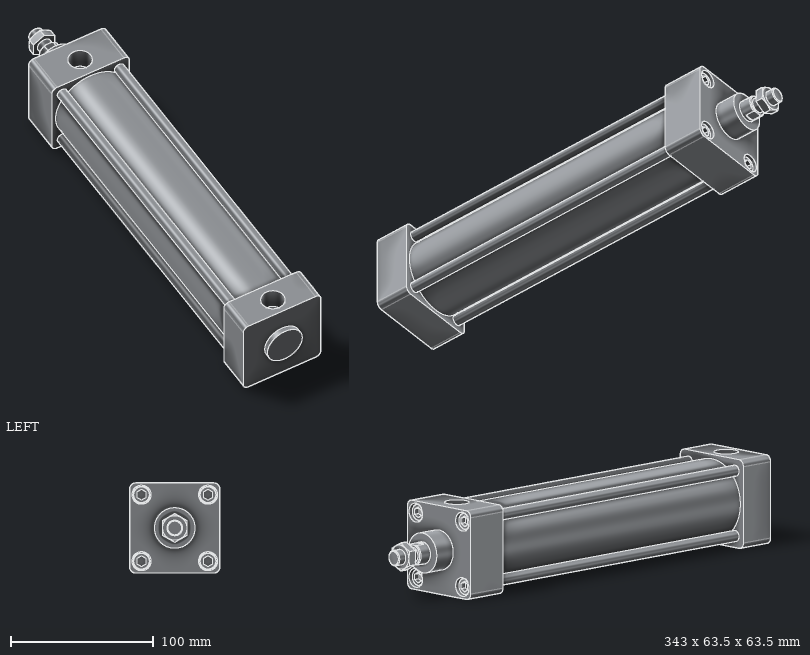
import cadquery as cq
import math

total_length = 343.0
nut_start = 6.5
nut_thickness = 6.2
shoulder_x = 18.5
front_boss_x = 28.5
front_cap_x = 44.5
front_cap_length = 32.0
rear_cap_length = 26.7
rear_boss_length = 3.8
front_cap_end = front_cap_x + front_cap_length
rear_cap_end = total_length - rear_boss_length
rear_cap_x = rear_cap_end - rear_cap_length
tube_length = rear_cap_x - front_cap_end

cap_width = 63.5
cap_corner_radius = 4.5
boss_diameter = 28.5
port_mouth_diameter = 17.0
port_floor_diameter = 15.5
port_depth = 15.5
front_port_x = 62.0
rear_port_x = 326.5

tube_diameter = 57.3
tube_bore = 50.7

rod_diameter = 15.8
rod_chamfer = 0.7
thread_diameter = 11.0
thread_tip_diameter = 9.5
wrench_flat_width = 14.0
wrench_flat_length = 7.5
nut_width = 17.5
nut_face_diameter = 17.0
nut_chamfer_length = 0.7

tie_rod_pitch = 46.5
tie_rod_diameter = 8.0
tie_head_diameter = 11.5
tie_head_face_diameter = 11.0
tie_head_length = 7.0
tie_head_recess = 2.0
tie_socket_width = 6.5
tie_socket_depth = 4.0
counterbore_diameter = 13.5
counterbore_depth = tie_head_recess + tie_head_length
tie_rod_rear_engagement = 17.0
tie_rod_end = rear_cap_x + tie_rod_rear_engagement


def yz_plane(x):
    """Plane across the cylinder axis at x, facing +X."""
    return cq.Workplane("YZ", origin=(x, 0, 0))


def cylinder(x_start, x_end, diameter, y=0.0, z=0.0):
    """Cylinder parallel to the X axis."""
    return yz_plane(x_start).center(y, z).circle(diameter / 2).extrude(x_end - x_start)


def hexagon_corner_diameter(width_across_flats):
    return width_across_flats / math.cos(math.pi / 6)


def hexagon(x_start, x_end, width_across_flats, y=0.0, z=0.0):
    """Hexagonal prism parallel to the X axis, with corners at its top and bottom."""
    corners_up = (0, 0, 90)
    sketch_plane = yz_plane(x_start).center(y, z).transformed(rotate=corners_up)
    return sketch_plane.polygon(6, hexagon_corner_diameter(width_across_flats)).extrude(x_end - x_start)


tie_rod_centres = [
    (y_side * tie_rod_pitch / 2, z_side * tie_rod_pitch / 2)
    for y_side in (-1, 1)
    for z_side in (-1, 1)
]


def make_cap_block(x_start, length):
    block = yz_plane(x_start).rect(cap_width, cap_width).extrude(length)
    return block.edges("|X").fillet(cap_corner_radius)


def port_cutter(x):
    """Blind tapered port, going down from the top face."""
    return (
        cq.Workplane("XY", origin=(x, 0, cap_width / 2))
        .circle(port_mouth_diameter / 2)
        .workplane(offset=-port_depth)
        .circle(port_floor_diameter / 2)
        .loft()
    )


def make_front_cap():
    cap = make_cap_block(front_cap_x, front_cap_length)
    cap = cap.union(cylinder(front_boss_x, front_cap_x, boss_diameter))
    cap = cap.cut(cylinder(front_boss_x, front_cap_end, rod_diameter))
    cap = cap.cut(port_cutter(front_port_x))
    for y, z in tie_rod_centres:
        cap = cap.cut(cylinder(front_cap_x, front_cap_end, tie_rod_diameter, y, z))
        cap = cap.cut(cylinder(front_cap_x, front_cap_x + counterbore_depth, counterbore_diameter, y, z))
    return cap


def make_rear_cap():
    cap = make_cap_block(rear_cap_x, rear_cap_length)
    cap = cap.union(cylinder(rear_cap_end, total_length, boss_diameter))
    cap = cap.cut(port_cutter(rear_port_x))
    for y, z in tie_rod_centres:
        cap = cap.cut(cylinder(rear_cap_x, tie_rod_end, tie_rod_diameter, y, z))
    return cap


def make_tube():
    return yz_plane(front_cap_end).circle(tube_diameter / 2).circle(tube_bore / 2).extrude(tube_length)


def make_piston_rod():
    """Rod with a threaded tip and two wrench flats behind its shoulder."""
    body = cylinder(shoulder_x, rear_cap_x, rod_diameter).faces("<X").chamfer(rod_chamfer)
    flat_cut = cq.Workplane("XY").box(wrench_flat_length, rod_diameter, rod_diameter)
    flat_centre_x = shoulder_x + wrench_flat_length / 2
    flat_centre_z = (wrench_flat_width + rod_diameter) / 2
    for side in (-1, 1):
        body = body.cut(flat_cut.translate((flat_centre_x, 0, side * flat_centre_z)))
    thread = cylinder(0, shoulder_x, thread_diameter)
    tip_chamfer = (thread_diameter - thread_tip_diameter) / 2
    return body.union(thread.faces("<X").chamfer(tip_chamfer))


def make_nut():
    """Hexagon nut with corners up and down, its front corners turned off."""
    nut_end = nut_start + nut_thickness
    corner_diameter = hexagon_corner_diameter(nut_width)
    turned = cylinder(nut_start, nut_end, corner_diameter)
    chamfer_depth = (corner_diameter - nut_face_diameter) / 2
    turned = turned.faces("<X").edges().chamfer(nut_chamfer_length, chamfer_depth)
    hexagon_body = hexagon(nut_start, nut_end, nut_width).intersect(turned)
    return hexagon_body.cut(cylinder(0, shoulder_x, thread_diameter))


def make_tie_rod(y, z):
    """Rod with a chamfered socket head in the front cap and its far end seated in the rear cap."""
    head_x = front_cap_x + tie_head_recess
    head_end = head_x + tie_head_length
    head = cylinder(head_x, head_end, tie_head_diameter, y, z)
    head = head.faces("<X").chamfer((tie_head_diameter - tie_head_face_diameter) / 2)
    rod = head.union(cylinder(head_end, tie_rod_end, tie_rod_diameter, y, z))
    socket = hexagon(head_x, head_x + tie_socket_depth, tie_socket_width, y, z)
    return rod.cut(socket)


front_cap = make_front_cap()
rear_cap = make_rear_cap()
tube = make_tube()
piston_rod = make_piston_rod()
nut = make_nut()
tie_rods = [make_tie_rod(y, z) for y, z in tie_rod_centres]

result = cq.Compound.makeCompound([
    front_cap.val(),
    rear_cap.val(),
    tube.val(),
    piston_rod.val(),
    nut.val(),
    *[tie_rod.val() for tie_rod in tie_rods],
])